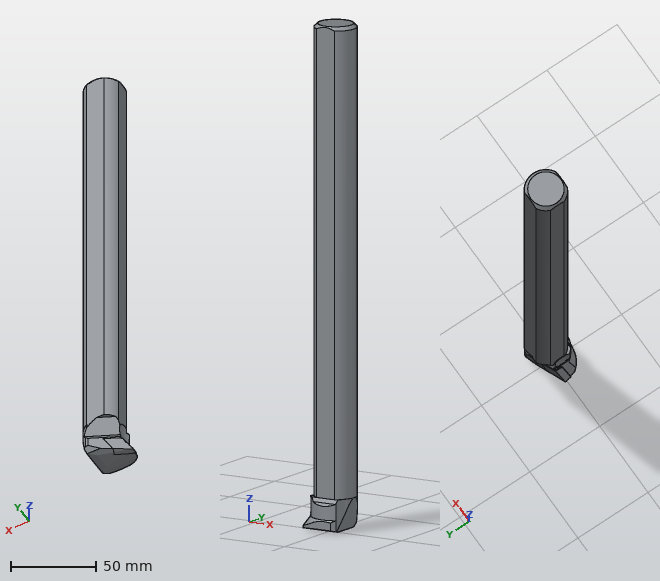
import cadquery as cq
import math

TOTAL_LENGTH = 306.0
SHANK_RADIUS = 13.0
FLAT_DISTANCE = 11.3
SIDE_FLAT_DISTANCE = 12.0
END_CHAMFER = 2.0
END_CHAMFER_HEIGHT = 2.0
SHANK_BOTTOM = 21.7

HEAD_TOP = 24.5
TIP_X = -19.0
TIP_Y = -1.0
LEG_TOP = 11.3
HEAD_BACK_Y = -15.3
HEAD_RIGHT_X = 8.0
SHOULDER_Z = 17.8
STEP_Z = 9.5
STEP_DEPTH = 0.5
NECK_RADIUS = 14.7
FOOT_RADIUS = 19.5
FOOT_Z = 3.0
COLLAR_Y = -12.5
COLLAR_Z = 19.3
EXTRUDE_SPAN = 91.8

RAKE_ANGLE = 25.0
EDGE_TILT = 2.0
NOSE_ANGLE = 55.0
INSERT_EDGE = 11.5
INSERT_THICKNESS = 4.3
INSERT_OVERHANG = 3.0
FLANK_SETBACK = 0.5
GULLET_DEPTH = 2.5

RELIEF_RADIUS = 15.3
RELIEF_DEPTH = 1.8
RELIEF_Y = -3.5
RELIEF_Z = 16.5
RELIEF_BOTTOM = 10.5


def make_shank():
    """Round bar with three long flats and a conical top chamfer."""
    length = TOTAL_LENGTH - SHANK_BOTTOM
    chamfer_start = TOTAL_LENGTH - END_CHAMFER_HEIGHT
    bar = (
        cq.Workplane("XZ")
        .moveTo(0, SHANK_BOTTOM)
        .lineTo(SHANK_RADIUS, SHANK_BOTTOM)
        .lineTo(SHANK_RADIUS, chamfer_start)
        .lineTo(SHANK_RADIUS - END_CHAMFER, TOTAL_LENGTH)
        .lineTo(0, TOTAL_LENGTH)
        .close()
        .revolve(360, (0, 0), (0, 1))
    )
    width = SHANK_RADIUS + SIDE_FLAT_DISTANCE
    flats = (
        cq.Workplane("XY", origin=(0, 0, SHANK_BOTTOM))
        .center(width / 2 - SIDE_FLAT_DISTANCE, 0)
        .rect(width, 2 * FLAT_DISTANCE)
        .extrude(length)
    )
    return bar.intersect(flats)


def make_head_blank():
    """Common volume of the head's outlines along Y, Z and X and its flared neck."""
    front_outline = (
        cq.Workplane("XZ", origin=(0, EXTRUDE_SPAN / 2, 0))
        .polyline([
            (TIP_X, 0),
            (2.8, 1.2),
            (HEAD_RIGHT_X, 2.0),
            (SHANK_RADIUS, SHANK_BOTTOM),
            (-SIDE_FLAT_DISTANCE, SHANK_BOTTOM),
            (-SIDE_FLAT_DISTANCE, LEG_TOP),
        ])
        .close()
        .extrude(EXTRUDE_SPAN)
    )
    plan_outline = (
        cq.Workplane("XY")
        .moveTo(TIP_X, TIP_Y)
        .lineTo(-18.7, -5.8)
        .lineTo(-17.0, -9.0)
        .threePointArc((-13.5, -12.5), (-8.5, HEAD_BACK_Y + STEP_DEPTH))
        .threePointArc((-1.5, HEAD_BACK_Y), (5.5, HEAD_BACK_Y + STEP_DEPTH))
        .lineTo(HEAD_RIGHT_X, -12.2)
        .lineTo(10.7, -6.5)
        .threePointArc((SHANK_RADIUS, 0), (5.5, FLAT_DISTANCE))
        .lineTo(-5.5, FLAT_DISTANCE)
        .close()
        .extrude(EXTRUDE_SPAN)
    )
    side_outline = (
        cq.Workplane("YZ", origin=(-EXTRUDE_SPAN / 2, 0, 0))
        .polyline([
            (TIP_Y, 0),
            (-5.5, 1.0),
            (-10.5, 2.0),
            (HEAD_BACK_Y, 3.7),
            (HEAD_BACK_Y, STEP_Z),
            (HEAD_BACK_Y + STEP_DEPTH, STEP_Z),
            (HEAD_BACK_Y + STEP_DEPTH, SHOULDER_Z),
            (COLLAR_Y, COLLAR_Z),
            (-FLAT_DISTANCE, SHANK_BOTTOM),
            (FLAT_DISTANCE, SHANK_BOTTOM),
            (10.5, 13.0),
            (10.5, 5.2),
            (7.3, 2.0),
        ])
        .close()
        .extrude(EXTRUDE_SPAN)
    )
    flare = (
        cq.Workplane("XZ")
        .polyline([
            (0, 0),
            (FOOT_RADIUS, 0),
            (FOOT_RADIUS, FOOT_Z),
            (NECK_RADIUS, STEP_Z),
            (NECK_RADIUS, SHANK_BOTTOM),
            (0, SHANK_BOTTOM),
        ])
        .close()
        .revolve(360, (0, 0), (0, 1))
    )
    return front_outline.intersect(plan_outline).intersect(side_outline).intersect(flare)


def rake_plane():
    """Plane at the tip: local X points away from the head, Y points up and Z out of the rake face."""
    angle = math.radians(RAKE_ANGLE)
    return cq.Plane(
        origin=(TIP_X, TIP_Y, 0),
        xDir=(-math.cos(angle), -math.sin(angle), 0),
        normal=(-math.sin(angle), math.cos(angle), 0),
    )


def make_gullet():
    """Chip space in front of the rake face, with a V groove above the insert."""
    tip_plane = rake_plane()
    section_plane = cq.Plane(
        origin=tip_plane.toWorldCoords((-EXTRUDE_SPAN / 2, 0, 0)).toTuple(),
        xDir=tip_plane.zDir.toTuple(),
        normal=tip_plane.xDir.toTuple(),
    )
    return (
        cq.Workplane(section_plane)
        .polyline([
            (0, 3),
            (0, -11.0),
            (-GULLET_DEPTH, -15.0),
            (3.5, -HEAD_TOP),
            (24.5, -HEAD_TOP),
            (24.5, 3),
        ])
        .close()
        .extrude(EXTRUDE_SPAN)
    )


def make_insert_space():
    """Rhombic prism behind the rake face; the tool's own outline bounds the insert on the outside."""
    end_angle = math.radians(EDGE_TILT)
    side_angle = math.radians(EDGE_TILT + NOSE_ANGLE)
    end_direction = cq.Vector(-math.cos(end_angle), math.sin(end_angle))
    side_direction = cq.Vector(-math.cos(side_angle), math.sin(side_angle))

    def corner(along_end, along_side):
        point = end_direction * along_end + side_direction * along_side
        return (point.x, point.y)

    return (
        cq.Workplane(rake_plane())
        .polyline([
            corner(-INSERT_OVERHANG, -INSERT_OVERHANG),
            corner(INSERT_EDGE, -INSERT_OVERHANG),
            corner(INSERT_EDGE, INSERT_EDGE),
            corner(-INSERT_OVERHANG, INSERT_EDGE),
        ])
        .close()
        .extrude(-INSERT_THICKNESS)
    )


def make_side_relief():
    """Shallow ball-shaped hollow that ends above the leg of the cutting tip."""
    center_x = -SIDE_FLAT_DISTANCE - RELIEF_RADIUS + RELIEF_DEPTH
    ball = cq.Workplane("XY").sphere(RELIEF_RADIUS).translate((center_x, RELIEF_Y, RELIEF_Z))
    above_leg = (
        cq.Workplane("XY", origin=(0, 0, RELIEF_BOTTOM))
        .rect(EXTRUDE_SPAN, EXTRUDE_SPAN)
        .extrude(EXTRUDE_SPAN)
    )
    return ball.intersect(above_leg)


def make_flank_setback():
    """Thin sloped slab that moves the bar's flank back from the insert's flank."""
    return (
        cq.Workplane("XZ", origin=(0, EXTRUDE_SPAN / 2, 0))
        .polyline([
            (TIP_X, 0),
            (TIP_X + FLANK_SETBACK, 0),
            (-SIDE_FLAT_DISTANCE + FLANK_SETBACK, LEG_TOP),
            (-SIDE_FLAT_DISTANCE, LEG_TOP),
        ])
        .close()
        .extrude(EXTRUDE_SPAN)
    )


tool_blank = make_shank().union(make_head_blank()).cut(make_gullet()).cut(make_side_relief())
insert_space = make_insert_space()
insert = tool_blank.intersect(insert_space)
bar = tool_blank.cut(insert_space).cut(make_flank_setback())

result = cq.Compound.makeCompound([bar.val(), insert.val()])